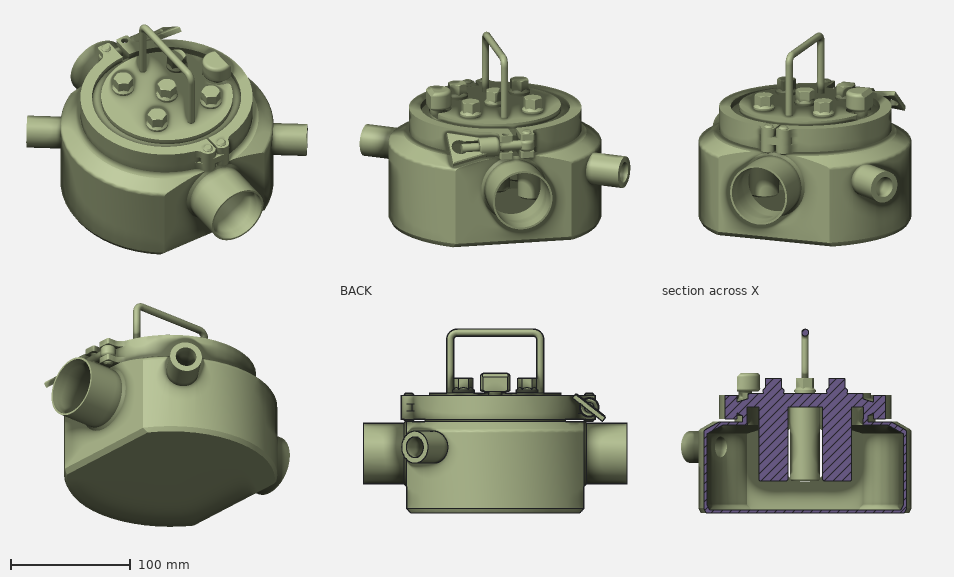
import cadquery as cq
import math


BODY_R = 89.0
FLAT_X = 74.0
WALL = 3.0
BODY_TOP_Z = 76.3
BODY_TOP_R = 76.5
SHOULDER_Z = 69.0
SHOULDER_FILLET = 3.5
BASE_BEVEL_H = 3.9
BASE_BEVEL_ROUND = 2.0
BASE_BEVEL_FLAT = 3.6

MAIN_HALF_SPAN = 110.0
MAIN_Z = 49.75
MAIN_R = 25.4
MAIN_BORE_R = 23.8
WELD_SIZE = 2.2

SIDE_ANGLE = 55.0
SIDE_LENGTH = 116.93
SIDE_Z = 55.0
SIDE_R = 13.35
SIDE_BORE_R = 17.29 / 2

NECK_R = 58.8
NECK_BORE_R = 55.0
FERRULE_R = 64.3
LID_R = 55.0
LID_TOP_Z = 100.0
CLAMP_MID_Z = 88.2
FERRULE_EDGE_H = 4.0
FERRULE_ROOT_H = 7.3

CLAMP_X = -0.7
CLAMP_HALF_SHIFT = 0.8
CLAMP_R = 71.2
CLAMP_INNER_R = 61.6
CLAMP_H = 20.0
CLAMP_BOTTOM_Z = CLAMP_MID_Z - CLAMP_H / 2
CLAMP_TOP_Z = CLAMP_MID_Z + CLAMP_H / 2
UPPER_HALF_Y = 2.2
LOWER_HALF_LATCH_Y = -4.4
LOWER_HALF_HINGE_Y = 0.4
LUG_BLEND = 8.0
LUG_CORNER = 1.5

LATCH_X = -78.4
LATCH_LUG_X = -83.5
LATCH_UPPER_Y = 7.9
LATCH_LOWER_Y = -10.3
LATCH_UPPER_EDGE_Y = 13.5
LATCH_LOWER_EDGE_Y = -16.0
LATCH_SLOT_H = 10.0
LATCH_HOLE_R = 6.1 / 2

HINGE_X = 72.0
HINGE_UPPER_Y = 7.9
HINGE_LOWER_Y = -5.2
HINGE_LUG_R = 6.5
HINGE_LINK_H = 6.0

PIN_R = 6.0 / 2
PIN_HEAD_R = 8.2 / 2
PIN_HEAD_H = 1.9
PIN_HEAD_CHAMFER = 1.4

EYE_R = 6.3
EYE_FILLET = 2.9
SWING_R = 8.0 / 2
SWING_END_Y = 45.3
NUT_R = 8.1
NUT_START_Y = 13.4
NUT_END_Y = 30.8
NUT_FILLET = 3.3
NUT_END_CHAMFER = 0.8
WING_TILT = 38.0
WING_THICKNESS = 4.9
WING_START_Y = 25.5
WING_END_Y = 55.3
WING_START_HALF = 8.0
WING_END_HALF = 15.9
WING_EYE_R = 14.0 / 2
WING_EYE_Y = 47.0
WING_SLOT_W = 11.0
WING_EDGE_CHAMFER = 0.9

ROD_OFFSET = 26.5
ROD_R = 25.0 / 2
ROD_BOTTOM_Z = 26.4
ROD_CHAMFER = 1.6
BOLT_TOP_Z = 112.7
HEX_SIDES = 6
HEX_FLATS = 14.0
WASHER_R = 16.9 / 2
WASHER_H = 1.0
BOLT_FLANGE_R = 18.0 / 2
BOLT_FLANGE_H = 1.5
BOLT_CONE_H = 2.2
BOLT_CONE_TOP_R = HEX_FLATS / 2
HEX_TIP_CHAMFER = 0.6
CENTRE_BOLT_TURN = -12.0

HANDLE_R = 6.1 / 2
HANDLE_HALF_SPAN = 37.6
HANDLE_TOP_Z = 153.6
HANDLE_BEND_R = 6.0

KNOB_R = 25.0 / 2
KNOB_Y = 49.8
KNOB_FLAT_Y = 56.8
KNOB_BOTTOM_Z = 101.3
KNOB_TOP_Z = 116.7
KNOB_TOP_ROUND = 3.2
KNOB_BOTTOM_ROUND = 2.4
KNOB_NECK_R = 5.6
SCALLOP_Y = 51.2
SCALLOP_R = 13.8
SCALLOP_BLEND = 3.0

CUT_SIZE = 400.0


def cylinder(x, y, z_low, z_high, radius):
    """Upright cylinder between two heights."""
    return cq.Workplane("XY").workplane(offset=z_low).center(x, y).circle(radius).extrude(z_high - z_low)


def block(x_low, x_high, y_low, y_high, z_low, z_high):
    """Axis-aligned box given by its limits."""
    size = (x_high - x_low, y_high - y_low, z_high - z_low)
    return cq.Workplane("XY").box(*size, centered=False).translate((x_low, y_low, z_low))


def revolved(profile):
    """Turn a list of (radius, height) points about the Z axis."""
    return cq.Workplane("XZ").polyline(profile).close().revolve(360, (0, 0), (0, 1))


def radial_direction(angle):
    """Horizontal unit vector at an angle (degrees) from +X."""
    return cq.Vector(math.cos(math.radians(angle)), math.sin(math.radians(angle)), 0)


def radial_cylinder(angle, z, start, length, radius):
    """Horizontal cylinder that points away from the Z axis."""
    direction = radial_direction(angle)
    base = direction * start + cq.Vector(0, 0, z)
    return cq.Workplane(cq.Solid.makeCylinder(radius, length, base, direction))


def radial_cone(angle, z, start, length, start_radius, end_radius):
    """Horizontal cone that points away from the Z axis."""
    direction = radial_direction(angle)
    base = direction * start + cq.Vector(0, 0, z)
    return cq.Workplane(cq.Solid.makeCone(start_radius, end_radius, length, base, direction))


def make_body():
    """Outer body with conical shoulder, two flats and a bevelled base."""
    body = revolved([
        (0, 0), (BODY_R - BASE_BEVEL_ROUND, 0), (BODY_R, BASE_BEVEL_H),
        (BODY_R, SHOULDER_Z), (BODY_TOP_R, BODY_TOP_Z), (0, BODY_TOP_Z),
    ])
    circles = body.edges("%CIRCLE and (not <Z) and (not >Z)")
    body = circles.edges(">Z").fillet(SHOULDER_FILLET)
    base_x = FLAT_X - BASE_BEVEL_FLAT
    flats = (
        cq.Workplane("XZ")
        .polyline([
            (-base_x, 0), (base_x, 0), (FLAT_X, BASE_BEVEL_H), (FLAT_X, BODY_TOP_Z),
            (-FLAT_X, BODY_TOP_Z), (-FLAT_X, BASE_BEVEL_H),
        ])
        .close()
        .extrude(BODY_R, both=True)
    )
    return body.intersect(flats)


def make_cavity():
    """Hollow inside of the body and of the neck above it."""
    inner_r = BODY_R - WALL
    cavity = revolved([
        (0, WALL), (inner_r - BASE_BEVEL_ROUND, WALL), (inner_r, WALL + BASE_BEVEL_H),
        (inner_r, SHOULDER_Z - WALL), (BODY_TOP_R - WALL, BODY_TOP_Z - WALL), (0, BODY_TOP_Z - WALL),
    ])
    inner_x = FLAT_X - WALL
    cavity = cavity.intersect(block(-inner_x, inner_x, -BODY_R, BODY_R, 0, BODY_TOP_Z))
    return cavity.union(cylinder(0, 0, WALL, CLAMP_MID_Z, NECK_BORE_R))


def make_ferrules():
    """Body neck, the two mating ferrule flanges and the raised lid disc."""
    stack = revolved([
        (0, BODY_TOP_Z - WALL), (NECK_R, BODY_TOP_Z - WALL), (NECK_R, CLAMP_MID_Z - FERRULE_ROOT_H),
        (FERRULE_R, CLAMP_MID_Z - FERRULE_EDGE_H), (FERRULE_R, CLAMP_MID_Z + FERRULE_EDGE_H),
        (LID_R, CLAMP_MID_Z + FERRULE_ROOT_H), (0, CLAMP_MID_Z + FERRULE_ROOT_H),
    ])
    lid = cylinder(0, 0, CLAMP_MID_Z, LID_TOP_Z, LID_R)
    scallop = cylinder(0, SCALLOP_Y, CLAMP_MID_Z, LID_TOP_Z, SCALLOP_R)
    lid = lid.cut(scallop)
    corner_y = (LID_R**2 + SCALLOP_Y**2 - SCALLOP_R**2) / (2 * SCALLOP_Y)
    corner_x = math.sqrt(LID_R**2 - corner_y**2)
    for side in (-1, 1):
        corner = (side * corner_x, corner_y, (CLAMP_MID_Z + LID_TOP_Z) / 2)
        lid = lid.edges(cq.selectors.NearestToPointSelector(corner)).fillet(SCALLOP_BLEND)
    return stack.union(lid)


def ring_lug_corner(x_side, ring_y, y):
    """Mid-height point of the edge where a lug side at y meets a clamp ring centred at ring_y."""
    return CLAMP_X + x_side * math.sqrt(CLAMP_R**2 - (y - ring_y)**2), y, CLAMP_MID_Z


def make_clamp_half(side, latch_y, latch_edge_y, hinge_y, hinge_center_y):
    """Half of the clamp ring (side +1 is at +Y) with its latch lug and hinge lug."""
    far_y = side * CUT_SIZE
    ring_y = side * CLAMP_HALF_SHIFT
    ring = cylinder(CLAMP_X, ring_y, CLAMP_BOTTOM_Z, CLAMP_TOP_Z, CLAMP_R)
    latch_keep = block(-CUT_SIZE, 0, min(latch_y, far_y), max(latch_y, far_y), 0, CUT_SIZE)
    hinge_keep = block(0, CUT_SIZE, min(hinge_y, far_y), max(hinge_y, far_y), 0, CUT_SIZE)
    half = ring.intersect(latch_keep.union(hinge_keep))

    latch_low, latch_high = sorted((latch_y, latch_edge_y))
    latch = block(LATCH_LUG_X, -CLAMP_INNER_R, latch_low, latch_high, CLAMP_BOTTOM_Z, CLAMP_TOP_Z)
    latch = latch.edges("|Z and <X").fillet(LUG_CORNER)
    hinge = cylinder(HINGE_X, hinge_center_y, CLAMP_BOTTOM_Z, CLAMP_TOP_Z, HINGE_LUG_R)
    hinge_edge_y = hinge_center_y + side * HINGE_LUG_R
    hinge_low, hinge_high = sorted((hinge_y, hinge_edge_y))
    hinge = hinge.union(block(CLAMP_INNER_R, HINGE_X, hinge_low, hinge_high, CLAMP_BOTTOM_Z, CLAMP_TOP_Z))
    hinge = hinge.intersect(hinge_keep)
    half = half.union(latch).union(hinge)

    latch_corner = ring_lug_corner(-1, ring_y, latch_edge_y)
    hinge_corner = ring_lug_corner(1, ring_y, hinge_edge_y)
    for corner in (latch_corner, hinge_corner):
        half = half.edges(cq.selectors.NearestToPointSelector(corner)).fillet(LUG_BLEND)
    return half.cut(cylinder(CLAMP_X, ring_y, CLAMP_BOTTOM_Z, CLAMP_TOP_Z, CLAMP_INNER_R))


def make_slot(x_side, height):
    """Space outside the clamp ring, at mid height, that splits a lug into two ears."""
    low, high = CLAMP_MID_Z - height / 2, CLAMP_MID_Z + height / 2
    x_low, x_high = sorted((0, x_side * CUT_SIZE))
    outside = block(x_low, x_high, -CLAMP_R, CLAMP_R, low, high)
    for ring_y in (-CLAMP_HALF_SHIFT, CLAMP_HALF_SHIFT):
        outside = outside.cut(cylinder(CLAMP_X, ring_y, low, high, CLAMP_R))
    return outside


def make_clamp():
    """Two clamp halves with split lugs."""
    upper = make_clamp_half(1, UPPER_HALF_Y, LATCH_UPPER_EDGE_Y, UPPER_HALF_Y, HINGE_UPPER_Y)
    lower = make_clamp_half(-1, LOWER_HALF_LATCH_Y, LATCH_LOWER_EDGE_Y, LOWER_HALF_HINGE_Y, HINGE_LOWER_Y)
    clamp = upper.union(lower)
    return clamp.cut(make_slot(-1, LATCH_SLOT_H)).cut(make_slot(1, HINGE_LINK_H))


def make_pin(x, y):
    """Clamp pin with a chamfered head on both ends."""
    pin = cylinder(x, y, CLAMP_BOTTOM_Z, CLAMP_TOP_Z, PIN_R)
    top_head = cylinder(x, y, CLAMP_TOP_Z, CLAMP_TOP_Z + PIN_HEAD_H, PIN_HEAD_R)
    bottom_head = cylinder(x, y, CLAMP_BOTTOM_Z - PIN_HEAD_H, CLAMP_BOTTOM_Z, PIN_HEAD_R)
    top_head = top_head.faces(">Z").chamfer(PIN_HEAD_CHAMFER)
    bottom_head = bottom_head.faces("<Z").chamfer(PIN_HEAD_CHAMFER)
    return pin.union(top_head).union(bottom_head)


def make_hinge():
    """Link plate between the two hinge pins, with the pins."""
    low, high = CLAMP_MID_Z - HINGE_LINK_H / 2, CLAMP_MID_Z + HINGE_LINK_H / 2
    link = block(HINGE_X - HINGE_LUG_R, HINGE_X + HINGE_LUG_R, HINGE_LOWER_Y, HINGE_UPPER_Y, low, high)
    for y in (HINGE_LOWER_Y, HINGE_UPPER_Y):
        link = link.union(cylinder(HINGE_X, y, low, high, HINGE_LUG_R))
    return link.union(make_pin(HINGE_X, HINGE_LOWER_Y)).union(make_pin(HINGE_X, HINGE_UPPER_Y))


def latch_cylinder(y_start, y_end, radius):
    """Cylinder along Y on the axis of the swing bolt."""
    plane = cq.Workplane("XZ", origin=(LATCH_X, y_start, CLAMP_MID_Z))
    return plane.circle(radius).extrude(y_start - y_end)


def make_wing():
    """Tilted trapezoid grip of the wing nut with its keyhole opening."""
    outline = [
        (-WING_START_HALF, WING_START_Y), (WING_START_HALF, WING_START_Y),
        (WING_END_HALF, WING_END_Y), (-WING_END_HALF, WING_END_Y),
    ]
    half_t = WING_THICKNESS / 2
    wing = cq.Workplane("XY").polyline(outline).close().extrude(half_t, both=True)
    eye = cq.Workplane("XY").center(0, WING_EYE_Y).circle(WING_EYE_R).extrude(half_t, both=True)
    half_slot = WING_SLOT_W / 2
    slot = block(-half_slot, half_slot, WING_START_Y, WING_EYE_Y, -half_t, half_t)
    wing = wing.faces(">Z").chamfer(WING_EDGE_CHAMFER).cut(eye).cut(slot)
    wing = wing.rotate((0, 0, 0), (0, 1, 0), -WING_TILT)
    return wing.translate((LATCH_X, 0, CLAMP_MID_Z))


def make_latch():
    """Swing bolt on its pin, with the wing nut."""
    low, high = CLAMP_MID_Z - LATCH_SLOT_H / 2, CLAMP_MID_Z + LATCH_SLOT_H / 2
    eye = cylinder(LATCH_X, LATCH_LOWER_Y, low, high, EYE_R).edges().fillet(EYE_FILLET)
    shank = latch_cylinder(LATCH_LOWER_Y, SWING_END_Y, SWING_R)
    nut = latch_cylinder(NUT_START_Y, NUT_END_Y, NUT_R)
    nut = nut.faces("<Y").edges().fillet(NUT_FILLET).faces(">Y").chamfer(NUT_END_CHAMFER)
    latch = eye.union(make_pin(LATCH_X, LATCH_LOWER_Y)).union(nut).union(make_wing())
    return latch.union(shank)


def make_main_pipes():
    """Straight pipe along X with a weld bead at each flat."""
    pipe = radial_cylinder(0, MAIN_Z, -MAIN_HALF_SPAN, 2 * MAIN_HALF_SPAN, MAIN_R)
    for angle in (0, 180):
        pipe = pipe.union(radial_cone(angle, MAIN_Z, FLAT_X, WELD_SIZE, MAIN_R + WELD_SIZE, MAIN_R))
    return pipe


def make_side_pipes():
    """Two opposite slanted pipes through the round wall."""
    return radial_cylinder(SIDE_ANGLE, SIDE_Z, -SIDE_LENGTH, 2 * SIDE_LENGTH, SIDE_R)


def make_housing():
    """Hollow body with all four pipe connections and the closed lid."""
    housing = make_body().union(make_main_pipes()).union(make_side_pipes()).union(make_ferrules())
    main_bore = radial_cylinder(0, MAIN_Z, -MAIN_HALF_SPAN, 2 * MAIN_HALF_SPAN, MAIN_BORE_R)
    side_bore = radial_cylinder(SIDE_ANGLE, SIDE_Z, -SIDE_LENGTH, 2 * SIDE_LENGTH, SIDE_BORE_R)
    return housing.cut(make_cavity()).cut(main_bore).cut(side_bore)


def make_magnet():
    """Magnet rod on the Z axis with its flanged hex bolt above the lid."""
    rod = cylinder(0, 0, ROD_BOTTOM_Z, LID_TOP_Z, ROD_R).faces("<Z").chamfer(ROD_CHAMFER)
    flange_z = LID_TOP_Z + WASHER_H
    cone_z = flange_z + BOLT_FLANGE_H
    collar = revolved([
        (0, LID_TOP_Z), (WASHER_R, LID_TOP_Z), (WASHER_R, flange_z), (BOLT_FLANGE_R, flange_z),
        (BOLT_FLANGE_R, cone_z), (BOLT_CONE_TOP_R, cone_z + BOLT_CONE_H), (0, cone_z + BOLT_CONE_H),
    ])
    hex_corners = HEX_FLATS / math.cos(math.pi / HEX_SIDES)
    head_h = BOLT_TOP_Z - LID_TOP_Z
    head = cq.Workplane("XY").workplane(offset=LID_TOP_Z).polygon(HEX_SIDES, hex_corners).extrude(head_h)
    edge_r = hex_corners / 2
    crown = revolved([
        (0, LID_TOP_Z), (edge_r, LID_TOP_Z), (edge_r, BOLT_TOP_Z - HEX_TIP_CHAMFER),
        (HEX_FLATS / 2, BOLT_TOP_Z), (0, BOLT_TOP_Z),
    ])
    return rod.union(collar).union(head.intersect(crown))


def make_handle():
    """Bent round bar standing on the lid."""
    bar_z = HANDLE_TOP_Z - HANDLE_R
    bend_z = bar_z - HANDLE_BEND_R
    bend_x = HANDLE_HALF_SPAN - HANDLE_BEND_R
    bend_mid = HANDLE_BEND_R * math.sqrt(0.5)
    path = (
        cq.Workplane("XZ")
        .moveTo(-HANDLE_HALF_SPAN, CLAMP_MID_Z)
        .lineTo(-HANDLE_HALF_SPAN, bend_z)
        .threePointArc((-bend_x - bend_mid, bend_z + bend_mid), (-bend_x, bar_z))
        .lineTo(bend_x, bar_z)
        .threePointArc((bend_x + bend_mid, bend_z + bend_mid), (HANDLE_HALF_SPAN, bend_z))
        .lineTo(HANDLE_HALF_SPAN, CLAMP_MID_Z)
    )
    foot = cq.Workplane("XY", origin=(-HANDLE_HALF_SPAN, 0, CLAMP_MID_Z))
    return foot.circle(HANDLE_R).sweep(path)


def make_knob():
    """Round knob with one flat bevelled at its top, standing on a thin neck in the lid scallop."""
    knob = cylinder(0, KNOB_Y, KNOB_BOTTOM_Z, KNOB_TOP_Z, KNOB_R)
    knob = knob.faces(">Z").edges().fillet(KNOB_TOP_ROUND)
    knob = knob.faces("<Z").edges().fillet(KNOB_BOTTOM_ROUND)
    front_y = KNOB_Y - KNOB_R
    side_profile = (
        cq.Workplane("YZ")
        .polyline([
            (front_y, KNOB_BOTTOM_Z), (KNOB_FLAT_Y, KNOB_BOTTOM_Z),
            (KNOB_FLAT_Y, KNOB_TOP_Z - KNOB_TOP_ROUND),
            (KNOB_FLAT_Y - KNOB_TOP_ROUND, KNOB_TOP_Z), (front_y, KNOB_TOP_Z),
        ])
        .close()
        .extrude(KNOB_R, both=True)
    )
    knob = knob.intersect(side_profile)
    return knob.union(cylinder(0, KNOB_Y, CLAMP_MID_Z, KNOB_BOTTOM_Z, KNOB_NECK_R))


result = make_housing().union(make_clamp())
result = result.cut(cylinder(LATCH_X, LATCH_UPPER_Y, CLAMP_BOTTOM_Z, CLAMP_TOP_Z, LATCH_HOLE_R))
result = result.union(make_hinge()).union(make_latch())
magnet = make_magnet()
result = result.union(magnet.rotate((0, 0, 0), (0, 0, 1), CENTRE_BOLT_TURN))
for rod_x in (-ROD_OFFSET, ROD_OFFSET):
    for rod_y in (-ROD_OFFSET, ROD_OFFSET):
        result = result.union(magnet.translate((rod_x, rod_y, 0)))
result = result.union(make_handle()).union(make_knob())